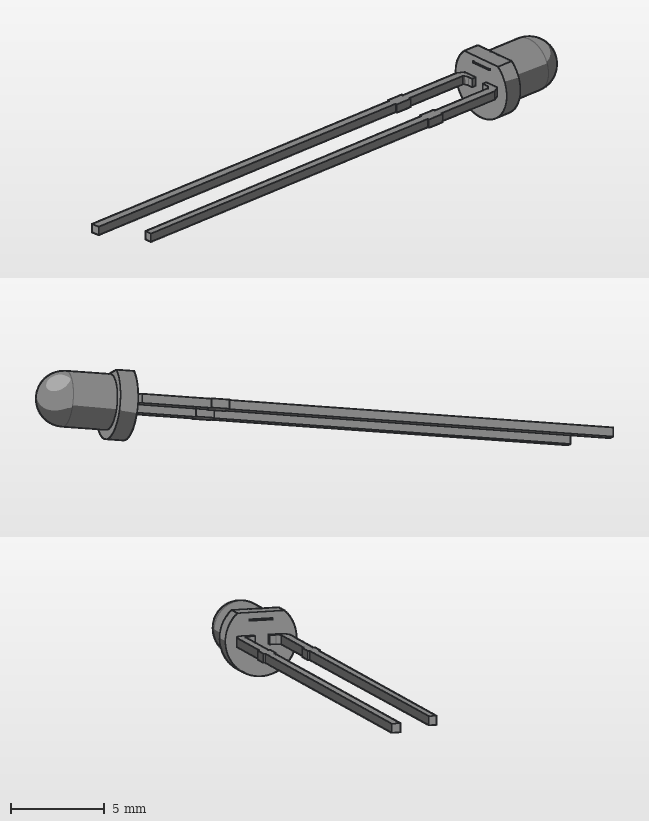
import cadquery as cq
import math


lens_radius = 1.5
lens_length = 5.0
dome_start = lens_length - lens_radius
flange_radius = 2.0
flange_thickness = 1.0
flat_height = lens_radius

bar_length = 1.3
bar_width = 0.08
bar_depth = 0.1
bar_height = 1.08

lead_width = 0.5
lead_thickness = 0.5
lead_spacing = 2.5
left_lead_length = 27.0
right_lead_length = 25.5
right_tip_width = 0.425
left_tip_slant = 0.03
foot_thickness = 0.27
bend_arc_width = 0.27
bend_arc_length = 0.13
bend_chamfer_width = 0.22
bend_chamfer_length = 0.4
foot_gap = 0.82
stop_width = 0.7
stop_length = 1.0
stop_depth = 4.3


def make_lead(side, length, tip_width, tip_slant):
    """Flat lead with its foot turned inward; side is -1 for left, +1 for right."""
    outer = side * (lead_spacing + lead_width) / 2
    inner = side * (lead_spacing - lead_width) / 2
    foot_end = side * foot_gap / 2
    bend_x = inner - side * bend_arc_width
    bend_y = -foot_thickness - bend_arc_length
    bend_radius = (bend_arc_width**2 + bend_arc_length**2) / (2 * bend_arc_length)
    half_sweep = math.asin(bend_arc_width / bend_radius) / 2
    bend_middle = (
        bend_x + side * bend_radius * math.sin(half_sweep),
        -foot_thickness - bend_radius * (1 - math.cos(half_sweep)),
    )
    tip_inner = outer - side * tip_width
    stop_end = -stop_depth - stop_length
    shank = (
        cq.Workplane("XY")
        .moveTo(outer, -length)
        .lineTo(outer, -bend_chamfer_length)
        .lineTo(outer - side * bend_chamfer_width, 0)
        .lineTo(foot_end, 0)
        .lineTo(foot_end, -foot_thickness)
        .lineTo(bend_x, -foot_thickness)
        .threePointArc(bend_middle, (inner, bend_y))
        .lineTo(inner, stop_end)
        .lineTo(tip_inner, tip_slant - length)
        .close()
        .extrude(lead_thickness / 2, both=True)
    )
    stop_center = (side * lead_spacing / 2, stop_end + stop_length / 2, 0)
    stop = cq.Workplane("XY").box(stop_width, stop_length, lead_thickness).translate(stop_center)
    return shank.union(stop)


def make_lens():
    """Domed lens with a flatted flange and a polarity bar in its underside; the feet rest on it."""
    dome_middle = (
        lens_radius * math.sin(math.pi / 4),
        dome_start + lens_radius * math.cos(math.pi / 4),
    )
    lens = (
        cq.Workplane("XY")
        .lineTo(flange_radius, 0)
        .lineTo(flange_radius, flange_thickness)
        .lineTo(lens_radius, flange_thickness)
        .lineTo(lens_radius, dome_start)
        .threePointArc(dome_middle, (0, lens_length))
        .close()
        .revolve(360, (0, 0), (0, 1))
    )
    flat_cutter = (
        cq.Workplane("XY")
        .workplane(offset=flat_height)
        .rect(2 * flange_radius, 2 * flange_thickness)
        .extrude(flange_radius)
    )
    polarity_bar = cq.Workplane("XY").box(bar_length, 2 * bar_depth, bar_width).translate((0, 0, bar_height))
    return lens.cut(flat_cutter).cut(polarity_bar)


leads = [
    make_lead(-1, left_lead_length, lead_width, left_tip_slant),
    make_lead(1, right_lead_length, right_tip_width, 0),
]
lens = make_lens()

result = cq.Compound.makeCompound([lens.val(), *[lead.val() for lead in leads]])